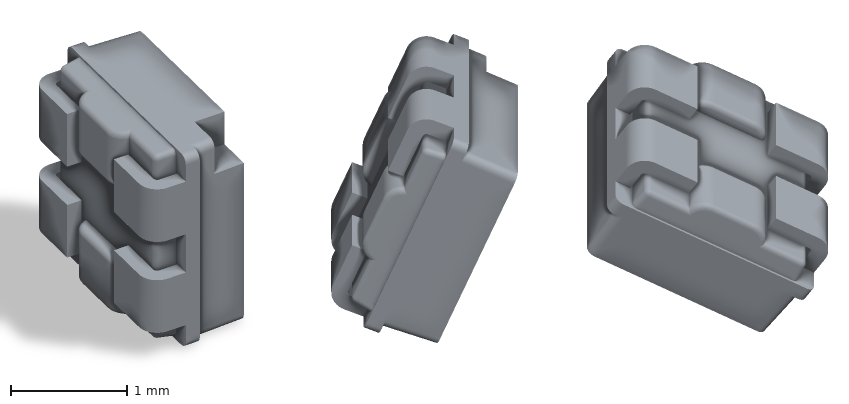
import cadquery as cq
import math

size = 2.0
corner_radius = 0.075

rear_depth = 0.64
flange_thickness = 0.14
rear_width_at_flange = 1.845
rear_width_at_back = 1.795

notch_start_x = 0.57
notch_depth_y = 0.3
notch_height = 0.34

front_width = 1.665
front_height = 1.955
front_depth = 0.2
draft_angle = 7.0
edge_radius = 0.05

pad_depth = 0.325
pad_flat_width = 0.42
pad_side_radius = 0.18
pad_inner_z = 0.382

lead_depth = 0.36
lead_thickness = 0.145
lead_outer_radius = 0.18
lead_inner_radius = lead_outer_radius - lead_thickness
lead_reach = 0.605
lead_width = 0.55
lead_gap = 0.4
lead_center_z = (lead_gap + lead_width) / 2


def make_flange():
    flange = cq.Workplane("XZ").rect(size, size).extrude(-flange_thickness)
    return flange.edges("|Y").fillet(corner_radius)


def make_rear_block():
    """Block behind the flange: sides narrow toward the back, notched at one upper corner."""
    half_front = rear_width_at_flange / 2
    half_back = rear_width_at_back / 2
    block = (
        cq.Workplane("XY")
        .polyline([
            (-half_front, flange_thickness),
            (half_front, flange_thickness),
            (half_back, rear_depth),
            (-half_back, rear_depth),
        ])
        .close()
        .extrude(size / 2, both=True)
    )
    block = block.edges("not(|X or |Z)").fillet(corner_radius)
    notch = cq.Workplane("XY").box(size, notch_depth_y, notch_height, centered=False)
    notch = notch.translate((notch_start_x, rear_depth - notch_depth_y, size / 2 - notch_height))
    return block.cut(notch)


def make_drafted_block(depth):
    """Sharp-edged block in front of the flange, with all four sides drafted."""
    return cq.Workplane("XZ").rect(front_width, front_height).extrude(depth, taper=draft_angle)


def make_front_block():
    return make_drafted_block(front_depth).edges("not >Y").fillet(edge_radius)


def make_pad():
    """Upper standoff pad; its outer end follows the drafted side of the front block."""
    half_flat = pad_flat_width / 2
    half_width = half_flat + pad_side_radius
    side_end_y = pad_side_radius - pad_depth
    diagonal = pad_side_radius * math.sqrt(0.5)
    arc_mid_x = half_flat + diagonal
    arc_mid_y = side_end_y - diagonal
    profile = (
        cq.Workplane("XY", origin=(0, 0, pad_inner_z))
        .moveTo(-half_width, 0)
        .lineTo(-half_width, side_end_y)
        .threePointArc((-arc_mid_x, arc_mid_y), (-half_flat, -pad_depth))
        .lineTo(half_flat, -pad_depth)
        .threePointArc((arc_mid_x, arc_mid_y), (half_width, side_end_y))
        .lineTo(half_width, 0)
        .close()
    )
    pad = profile.extrude(size / 2 - pad_inner_z).intersect(make_drafted_block(pad_depth))
    return pad.edges("not |Z").edges("not >Y").fillet(edge_radius)


def make_housing():
    upper_pad = make_pad()
    lower_pad = upper_pad.mirror("XY")
    front = make_front_block().union(upper_pad).union(lower_pad)
    return make_flange().union(make_rear_block()).union(front)


def make_lead(side, center_z):
    """One lead: a leg along the flange side, bent inward into a foot (side is -1 or 1 in X)."""
    outer_x = size / 2
    inner_x = outer_x - lead_thickness
    foot_end_x = outer_x - lead_reach
    foot_back_y = lead_thickness - lead_depth
    bend_x = outer_x - lead_outer_radius
    bend_y = lead_outer_radius - lead_depth
    outer_diagonal = lead_outer_radius * math.sqrt(0.5)
    inner_diagonal = lead_inner_radius * math.sqrt(0.5)
    profile = (
        cq.Workplane("XY", origin=(0, 0, center_z))
        .moveTo(side * outer_x, 0)
        .lineTo(side * outer_x, bend_y)
        .threePointArc(
            (side * (bend_x + outer_diagonal), bend_y - outer_diagonal),
            (side * bend_x, -lead_depth),
        )
        .lineTo(side * foot_end_x, -lead_depth)
        .lineTo(side * foot_end_x, foot_back_y)
        .lineTo(side * bend_x, foot_back_y)
        .threePointArc(
            (side * (bend_x + inner_diagonal), bend_y - inner_diagonal),
            (side * inner_x, bend_y),
        )
        .lineTo(side * inner_x, 0)
        .close()
    )
    return profile.extrude(lead_width / 2, both=True)


housing = make_housing()
leads = [
    make_lead(side, center_z)
    for side in (-1, 1)
    for center_z in (-lead_center_z, lead_center_z)
]

result = cq.Compound.makeCompound([housing.val(), *[lead.val() for lead in leads]])